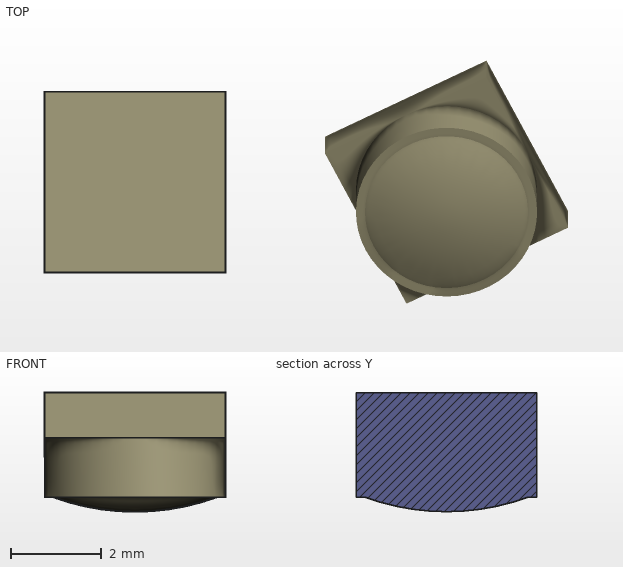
import cadquery as cq

plate_side = 4.0
plate_thickness = 1.0
total_height = 2.64
barrel_diameter = 4.0
lens_diameter = 3.6
lens_sag = 0.32

barrel_height = total_height - plate_thickness - lens_sag
lens_radius = lens_diameter / 2
barrel_bottom = -barrel_height
lens_apex = barrel_bottom - lens_sag
sphere_radius = (lens_radius**2 + lens_sag**2) / (2 * lens_sag)
sphere_center = lens_apex + sphere_radius


def make_plate():
    """Square plate on top of the barrel."""
    return cq.Workplane("XY").rect(plate_side, plate_side).extrude(plate_thickness)


def make_barrel_with_lens():
    """Round barrel ending in a shallow spherical dome, revolved about Z."""
    barrel_radius = barrel_diameter / 2
    arc_mid_x = lens_radius / 2
    arc_mid_z = sphere_center - (sphere_radius**2 - arc_mid_x**2) ** 0.5
    return (
        cq.Workplane("XZ")
        .moveTo(0, 0)
        .lineTo(barrel_radius, 0)
        .lineTo(barrel_radius, barrel_bottom)
        .lineTo(lens_radius, barrel_bottom)
        .threePointArc((arc_mid_x, arc_mid_z), (0, lens_apex))
        .close()
        .revolve(360, (0, 0, 0), (0, 1, 0))
    )


result = make_plate().union(make_barrel_with_lens())